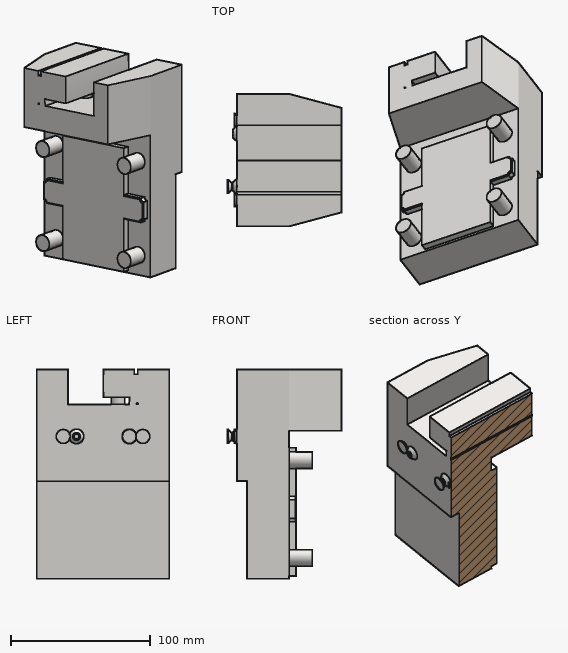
import cadquery as cq

WIDTH = 95.0
HEIGHT = 150.0
BACK_X = 37.5
STEP_DEPTH = 7.2
STEP_HEIGHT = 70.0
HALF_WIDTH = WIDTH / 2

HEAD_LENGTH = 75.0
HEAD_HEIGHT = 44.0
HEAD_TAPER = 10.0

SLOT_DEPTH = 25.0
SLOT_LEFT_Y = HALF_WIDTH - 22.5
JAW_FACE_Y = HALF_WIDTH - 47.8
JAW_HEIGHT = 20.0
JAW_BULGE = 0.25
UNDERCUT_TOP_Y = HALF_WIDTH - 66.6
UNDERCUT_FLOOR_Y = HALF_WIDTH - 66.0

GROOVE_WIDTH = 2.3
GROOVE_DEPTH = 3.4
GROOVE_Y = HALF_WIDTH - 71.2
BORE_DIAMETER = 0.8
BORE_Y = HALF_WIDTH - 72.0
BORE_Z = HEIGHT - 24.5

JAW_PIN_DIAMETER = 10.0
JAW_PIN_X = HEAD_LENGTH / 2
JAW_PIN_Y = HALF_WIDTH - 58.25

FASTENER_Z = 102.0
SCREW_DIAMETER = 10.5
SCREW_TIP_DIAMETER = 5.4
SCREW_HEIGHT = 2.9
SCREW_DOME_BULGE = 0.2
HEX_ACROSS_CORNERS = 4.0
HEX_DEPTH = 1.5
COUNTERSUNK_DIAMETER = 10.0
COUNTERSUNK_NECK_DIAMETER = 5.0
COUNTERSUNK_RIM = 0.5
PAIR_LENGTH = 6.65
COUNTERSUNK_STANDOFF = 1.9
SOCKET_SCREW_Y = HALF_WIDTH - 28.5
PAIR_Y = HALF_WIDTH - 66.4
COUNTERSUNK_Y_POSITIONS = (HALF_WIDTH - 19.0, HALF_WIDTH - 76.0)

PLATE_THICKNESS = 5.0
PLATE_WIDTH = 55.0
PLATE_BOTTOM = 2.0
PLATE_TOP = 94.0
BAR_WIDTH = WIDTH - 2 * 2.8
BAR_BOTTOM = 41.0
BAR_TOP = 59.1
BAR_SCALLOP_RADIUS = 2.5
BAR_CHAMFER = 0.8
PIN_DIAMETER = 12.0
PIN_LENGTH = 16.7
PIN_EDGE_DISTANCE = 11.0
PIN_HEIGHTS = (15.0, 85.0)


def box(x_range, y_range, z_range):
    """Box between the given limits along each axis."""
    (x0, x1), (y0, y1), (z0, z1) = x_range, y_range, z_range
    return cq.Workplane("XY").box(x1 - x0, y1 - y0, z1 - z0, centered=False).translate((x0, y0, z0))


def cylinder_along_x(x_start, y, z, diameter, length):
    """Cylinder that runs in +X from x_start."""
    return cq.Workplane("YZ", origin=(x_start, y, z)).circle(diameter / 2).extrude(length)


def make_body():
    """Stepped upright body."""
    across = (-HALF_WIDTH, HALF_WIDTH)
    upper = box((0, BACK_X), across, (STEP_HEIGHT, HEIGHT))
    lower = box((STEP_DEPTH, BACK_X), across, (0, STEP_HEIGHT))
    return upper.union(lower)


def make_head():
    """Head behind the body, narrowing towards its back end."""
    end_half_width = HALF_WIDTH - HEAD_TAPER
    return (
        cq.Workplane("XY", origin=(0, 0, HEIGHT - HEAD_HEIGHT))
        .moveTo(BACK_X, -HALF_WIDTH)
        .lineTo(HEAD_LENGTH, -end_half_width)
        .lineTo(HEAD_LENGTH, end_half_width)
        .lineTo(BACK_X, HALF_WIDTH)
        .close()
        .extrude(HEAD_HEIGHT)
    )


def make_slot():
    """Cutter for the clamping slot with the undercut below the jaw."""
    floor_z = HEIGHT - SLOT_DEPTH
    jaw_bottom_z = HEIGHT - JAW_HEIGHT
    return (
        cq.Workplane("YZ")
        .moveTo(SLOT_LEFT_Y, HEIGHT)
        .lineTo(SLOT_LEFT_Y, floor_z)
        .lineTo(UNDERCUT_FLOOR_Y, floor_z)
        .lineTo(UNDERCUT_TOP_Y, jaw_bottom_z)
        .lineTo(JAW_FACE_Y, jaw_bottom_z)
        .threePointArc((JAW_FACE_Y + JAW_BULGE, HEIGHT - JAW_HEIGHT / 2), (JAW_FACE_Y, HEIGHT))
        .close()
        .extrude(HEAD_LENGTH)
    )


def make_groove():
    """Cutter for the relief groove along the top of the jaw."""
    return box(
        (0, HEAD_LENGTH),
        (GROOVE_Y - GROOVE_WIDTH / 2, GROOVE_Y + GROOVE_WIDTH / 2),
        (HEIGHT - GROOVE_DEPTH, HEIGHT),
    )


def make_jaw_pin():
    """Upright pin between the slot floor and the jaw."""
    return (
        cq.Workplane("XY", origin=(JAW_PIN_X, JAW_PIN_Y, HEIGHT - SLOT_DEPTH))
        .circle(JAW_PIN_DIAMETER / 2)
        .extrude(SLOT_DEPTH - JAW_HEIGHT)
    )


def make_screw_head(y):
    """Domed screw head standing on the front face, without its socket."""
    base_radius = SCREW_DIAMETER / 2
    tip_radius = SCREW_TIP_DIAMETER / 2
    dome_middle = (
        -SCREW_HEIGHT / 2 - SCREW_DOME_BULGE,
        (base_radius + tip_radius) / 2 + SCREW_DOME_BULGE,
    )
    return (
        cq.Workplane("XY")
        .moveTo(0, 0)
        .lineTo(0, base_radius)
        .threePointArc(dome_middle, (-SCREW_HEIGHT, tip_radius))
        .lineTo(-SCREW_HEIGHT, 0)
        .close()
        .revolve(360, (0, 0, 0), (1, 0, 0))
        .translate((0, y, FASTENER_Z))
    )


def make_socket_screw():
    """Screw head with a hexagon socket."""
    socket = (
        cq.Workplane("YZ", origin=(-SCREW_HEIGHT, SOCKET_SCREW_Y, FASTENER_Z))
        .polygon(6, HEX_ACROSS_CORNERS)
        .extrude(HEX_DEPTH)
    )
    return make_screw_head(SOCKET_SCREW_Y).cut(socket)


def make_countersunk_head(y, standoff):
    """Countersunk head with its flat face at the given standoff, tapering at 45 degrees towards the body."""
    rim_radius = COUNTERSUNK_DIAMETER / 2
    neck_radius = COUNTERSUNK_NECK_DIAMETER / 2
    cone_start = COUNTERSUNK_RIM - standoff
    cone_end = cone_start + rim_radius - neck_radius
    return (
        cq.Workplane("XY")
        .moveTo(-standoff, 0)
        .lineTo(-standoff, rim_radius)
        .lineTo(cone_start, rim_radius)
        .lineTo(cone_end, neck_radius)
        .lineTo(cone_end, 0)
        .close()
        .revolve(360, (0, 0, 0), (1, 0, 0))
        .translate((0, y, FASTENER_Z))
    )


def make_screw_pair():
    """Domed head and countersunk head facing each other, joined by a short neck."""
    neck = cylinder_along_x(-PAIR_LENGTH, PAIR_Y, FASTENER_Z, COUNTERSUNK_NECK_DIAMETER, PAIR_LENGTH)
    return make_screw_head(PAIR_Y).union(neck).union(make_countersunk_head(PAIR_Y, PAIR_LENGTH))


def make_back_plate():
    """Plate on the back face."""
    return box(
        (BACK_X, BACK_X + PLATE_THICKNESS),
        (-PLATE_WIDTH / 2, PLATE_WIDTH / 2),
        (PLATE_BOTTOM, PLATE_TOP),
    )


def make_crossbar():
    """Bar across the back plate with scalloped corners and a chamfered outer rim."""
    bar = box(
        (BACK_X, BACK_X + PLATE_THICKNESS),
        (-BAR_WIDTH / 2, BAR_WIDTH / 2),
        (BAR_BOTTOM, BAR_TOP),
    )
    for y in (-BAR_WIDTH / 2, BAR_WIDTH / 2):
        for z in (BAR_BOTTOM, BAR_TOP):
            bar = bar.cut(cylinder_along_x(BACK_X, y, z, 2 * BAR_SCALLOP_RADIUS, PLATE_THICKNESS))
    return bar.faces(">X").chamfer(BAR_CHAMFER)


result = make_body().union(make_head()).cut(make_slot()).cut(make_groove())
result = result.cut(cylinder_along_x(0, BORE_Y, BORE_Z, BORE_DIAMETER, HEAD_LENGTH))
result = result.union(make_jaw_pin())

result = result.union(make_socket_screw()).union(make_screw_pair())
for countersunk_y in COUNTERSUNK_Y_POSITIONS:
    result = result.union(make_countersunk_head(countersunk_y, COUNTERSUNK_STANDOFF))

result = result.union(make_back_plate()).union(make_crossbar())
pin_y = HALF_WIDTH - PIN_EDGE_DISTANCE
for pin_side_y in (-pin_y, pin_y):
    for pin_z in PIN_HEIGHTS:
        result = result.union(cylinder_along_x(BACK_X, pin_side_y, pin_z, PIN_DIAMETER, PIN_LENGTH))